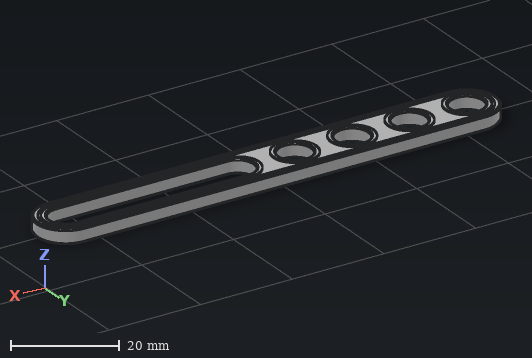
import cadquery as cq

pitch = 12.5
length = 8 * pitch
thickness = 3.1
hole_count = 4
hole_diameter = 7.0
collar_diameter = 9.2
rim_width = 1.1
recess_depth = 0.2
outer_chamfer = 0.3
hole_chamfer = 0.3

end_center = (length - pitch) / 2
hole_centers = [(-end_center + i * pitch, 0) for i in range(hole_count)]
slot_start = hole_centers[-1][0] + pitch
slot_center = (slot_start + end_center) / 2
slot_travel = end_center - slot_start


def rounded_bar(bar_length, width, height):
    """Full-round bar centred on the origin, standing on Z = 0."""
    return cq.Workplane("XY").slot2D(bar_length, width).extrude(height)


def openings(diameter, height):
    """Solid filling every round hole and the long slot at the given width."""
    cylinders = cq.Workplane("XY").pushPoints(hole_centers).circle(diameter / 2).extrude(height)
    slot = rounded_bar(slot_travel + diameter, diameter, height).translate((slot_center, 0, 0))
    return cylinders.union(slot)


def recessed_field():
    """Shallow pocket inside the rim that leaves the collars standing."""
    pocket = rounded_bar(length - 2 * rim_width, pitch - 2 * rim_width, recess_depth)
    collars = openings(collar_diameter, recess_depth)
    return pocket.cut(collars).translate((0, 0, thickness - recess_depth))


strip = rounded_bar(length, pitch, thickness).faces("<Z or >Z").chamfer(outer_chamfer)

strip = strip.cut(openings(hole_diameter, thickness))
inner_half_length = length / 2 - rim_width
inner_half_width = pitch / 2 - rim_width
mouths = cq.selectors.BoxSelector(
    (-inner_half_length, -inner_half_width, -thickness),
    (inner_half_length, inner_half_width, 2 * thickness),
    boundingbox=True,
)
strip = strip.faces("<Z or >Z").edges(mouths).chamfer(hole_chamfer)

result = strip.cut(recessed_field())